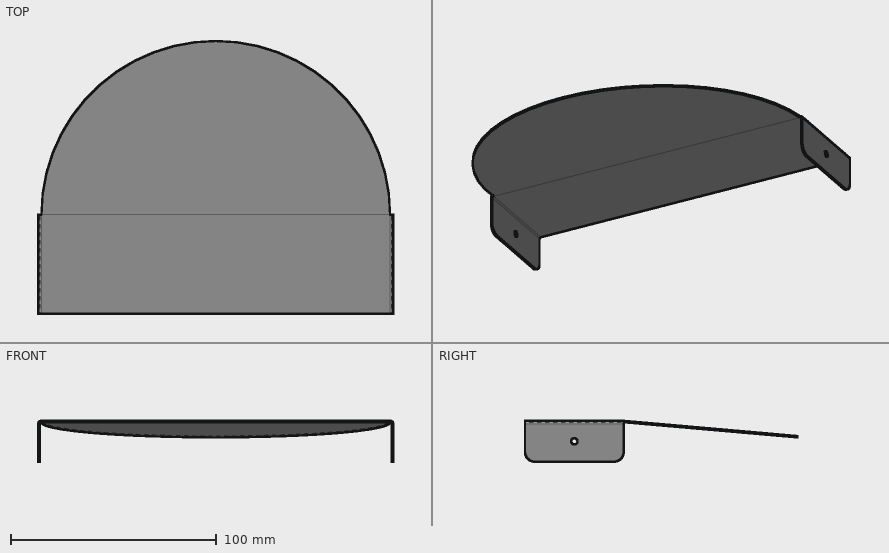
import cadquery as cq
import math

thickness = 0.8
inner_bend_radius = 0.7
outer_bend_radius = inner_bend_radius + thickness

width = 172.8
depth = 48.2
height = 20.0
tab_corner_radius = 5.0
hole_diameter = 3.0

flap_radius = width / 2 - outer_bend_radius
flap_angle = 5.0


def u_profile(half_width, top, corner_radius):
    """Closed outline of an upside-down U, rounded at the top, in the XZ plane."""
    return (
        cq.Workplane("XZ")
        .moveTo(-half_width, -height)
        .lineTo(-half_width, top - corner_radius)
        .radiusArc((-half_width + corner_radius, top), corner_radius)
        .lineTo(half_width - corner_radius, top)
        .radiusArc((half_width, top - corner_radius), corner_radius)
        .lineTo(half_width, -height)
        .close()
    )


def make_bracket():
    """Strip and tabs with rounded lower corners and a central hole in each tab."""
    outside = u_profile(width / 2, 0, outer_bend_radius).extrude(-depth)
    inside = u_profile(width / 2 - thickness, -thickness, inner_bend_radius).extrude(-depth)
    bracket = outside.cut(inside)
    bracket = bracket.edges("|X").edges("<Z").edges("<Y or >Y").fillet(tab_corner_radius)
    holes = (
        cq.Workplane("YZ")
        .center(depth / 2, -height / 2)
        .circle(hole_diameter / 2)
        .extrude(width / 2, both=True)
    )
    return bracket.cut(holes)


def make_flap():
    """Half disc sloping down from the fold line at the rear of the strip."""
    overlap = thickness * math.tan(math.radians(flap_angle))
    flap = (
        cq.Workplane("XY")
        .moveTo(-flap_radius, -overlap)
        .lineTo(-flap_radius, 0)
        .threePointArc((0, flap_radius), (flap_radius, 0))
        .lineTo(flap_radius, -overlap)
        .close()
        .extrude(-thickness)
    )
    flap = flap.rotate((0, 0, 0), (1, 0, 0), -flap_angle).translate((0, depth, 0))
    above_strip = cq.Workplane("XY").box(width, depth, thickness, centered=(True, False, False))
    return flap.cut(above_strip)


result = make_bracket().union(make_flap())